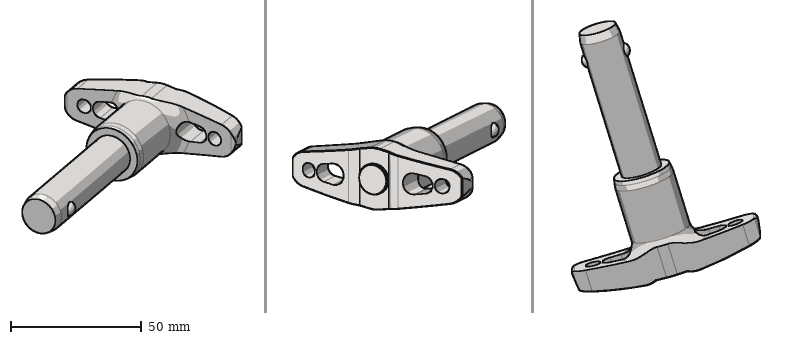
import cadquery as cq
import math

LENGTH = 101.2

PIN_RADIUS = 8.0
PIN_TIP_RADIUS = 7.3
PIN_TIP_TAPER = 3.4
PIN_LENGTH = 59.0

BALL_RADIUS = 3.0
BALL_REACH = 9.6
BALL_Y = 11.2

COLLAR_RADIUS = 11.7
COLLAR_RIM_RADIUS = 11.4
COLLAR_END_RADIUS = 11.1
COLLAR_RIM_LENGTH = 1.5
COLLAR_TAPER_LENGTH = 2.2

HUB_RADIUS = 12.3
HANDLE_WIDTH = 74.8
HANDLE_HALF_WIDTH = HANDLE_WIDTH / 2
END_RADIUS = 7.1

UNDERSIDE_CREST_Y = LENGTH - 11.1
UNDERSIDE_RADIUS = 546.5
FLARE_RADIUS = 5.5

DOME_RADIUS = 151.8
DOME_CREST_X = 10.6
DOME_CREST_Y = LENGTH - 0.35
SEAT_Y = LENGTH - 1.4
SEAT_ROUND = 9.5
TOP_CHAMFER = 0.3

FACET_TOP_X = 36.3
FACET_TOP_Y = LENGTH - 4.0
FACET_BOTTOM_Y = LENGTH - 10.7
FACET_FILLET = 1.4

SLOT_INNER_X = 16.9
SLOT_INNER_WIDTH = 8.4
SLOT_INNER_RADIUS = SLOT_INNER_WIDTH / 2
SLOT_OUTER_X = 21.3
SLOT_OUTER_RADIUS = 3.5
HOLE_X = 28.5
HOLE_DIAMETER = 5.8

BUTTON_TOP_RADIUS = 5.8
BUTTON_BASE_RADIUS = 6.1
BUTTON_LIP = 0.5

CLEARANCE = 1.5 * HANDLE_HALF_WIDTH


def round_ended_hull(x_a, radius_a, x_b, radius_b):
    """Prism along Y over two circles on the X axis joined by their outer tangent lines."""
    lean = (radius_a - radius_b) / (x_b - x_a)
    rise = math.sqrt(1 - lean**2)

    def tangent_point(x, radius, side):
        return (x + radius * lean, side * radius * rise)

    outline = (
        cq.Workplane("XZ")
        .moveTo(*tangent_point(x_a, radius_a, 1))
        .lineTo(*tangent_point(x_b, radius_b, 1))
        .threePointArc((x_b + radius_b, 0), tangent_point(x_b, radius_b, -1))
        .lineTo(*tangent_point(x_a, radius_a, -1))
        .threePointArc((x_a - radius_a, 0), tangent_point(x_a, radius_a, 1))
        .close()
    )
    return through_handle(outline)


def through_handle(outline):
    """Extrude an XZ outline along +Y past the top of the handle."""
    return outline.extrude(-(LENGTH + CLEARANCE))


def mirrored_pair(half):
    """The given shape together with its mirror image on the other side in X."""
    return half.union(half.mirror("YZ"))


def turned(profile):
    """Close an XY profile and revolve it about the Y axis."""
    return profile.close().revolve(360, (0, 0), (0, 1))


def make_handle_slab():
    """Domed top and end facets of the handle, as a slab wider in Z than the handle."""
    base_y = UNDERSIDE_CREST_Y - 2 * FLARE_RADIUS
    facet_slope = (HANDLE_HALF_WIDTH - FACET_TOP_X) / (FACET_TOP_Y - FACET_BOTTOM_Y)
    facet_base_x = FACET_TOP_X + facet_slope * (FACET_TOP_Y - base_y)

    roll_center_y = DOME_CREST_Y - SEAT_ROUND
    roll_angle = math.acos((SEAT_Y - roll_center_y) / SEAT_ROUND)

    def roll_point(angle):
        return (
            DOME_CREST_X - SEAT_ROUND * math.sin(angle),
            roll_center_y + SEAT_ROUND * math.cos(angle),
        )

    half = (
        cq.Workplane("XY")
        .moveTo(0, base_y)
        .lineTo(facet_base_x, base_y)
        .lineTo(FACET_TOP_X, FACET_TOP_Y)
        .radiusArc((DOME_CREST_X, DOME_CREST_Y), -DOME_RADIUS)
        .threePointArc(roll_point(roll_angle / 2), roll_point(roll_angle))
        .lineTo(0, SEAT_Y)
        .close()
        .extrude(2 * HUB_RADIUS, both=True)
    )
    return mirrored_pair(half)


def make_underside_blank():
    """Turned blank whose lower face is the flare running tangent into the spherical underside."""
    sphere_y = UNDERSIDE_CREST_Y - UNDERSIDE_RADIUS
    flare_x = COLLAR_RADIUS + FLARE_RADIUS
    flare_lean = math.asin(flare_x / (UNDERSIDE_RADIUS - FLARE_RADIUS))
    flare_y = sphere_y + (UNDERSIDE_RADIUS - FLARE_RADIUS) * math.cos(flare_lean)

    def flare_point(angle):
        return (flare_x + FLARE_RADIUS * math.sin(angle), flare_y + FLARE_RADIUS * math.cos(angle))

    rim_y = sphere_y + math.sqrt(UNDERSIDE_RADIUS**2 - CLEARANCE**2)
    return turned(
        cq.Workplane("XY")
        .moveTo(0, flare_y)
        .lineTo(COLLAR_RADIUS, flare_y)
        .threePointArc(flare_point(-math.pi / 4), flare_point(flare_lean))
        .radiusArc((CLEARANCE, rim_y), UNDERSIDE_RADIUS)
        .lineTo(CLEARANCE, LENGTH)
        .lineTo(0, LENGTH)
    )


def make_handle():
    """Domed bar with rounded ends, finger slots and lanyard holes."""
    blank = make_underside_blank().rotate((0, 0, 0), (0, 1, 0), 90)
    body = make_handle_slab().intersect(blank)
    for side in (-1, 1):
        end_corner = cq.selectors.BoxSelector(
            (side * FACET_TOP_X, UNDERSIDE_CREST_Y - FLARE_RADIUS, -CLEARANCE),
            (side * CLEARANCE, FACET_BOTTOM_Y, CLEARANCE),
        )
        body = body.edges(end_corner).fillet(FACET_FILLET)

    end_x = HANDLE_HALF_WIDTH - END_RADIUS
    outline = mirrored_pair(round_ended_hull(0, HUB_RADIUS, end_x, END_RADIUS))
    body = body.intersect(outline)

    top_edges = cq.selectors.BoxSelector(
        (-CLEARANCE, FACET_TOP_Y - TOP_CHAMFER, -CLEARANCE),
        (CLEARANCE, LENGTH, CLEARANCE),
    )
    body = body.edges(top_edges).edges("(not |Z) or <X or >X").chamfer(TOP_CHAMFER)

    slot = round_ended_hull(SLOT_INNER_X, SLOT_INNER_RADIUS, SLOT_OUTER_X, SLOT_OUTER_RADIUS)
    hole = through_handle(cq.Workplane("XZ").center(HOLE_X, 0).circle(HOLE_DIAMETER / 2))
    return body.cut(mirrored_pair(slot)).cut(mirrored_pair(hole))


def make_stem():
    """Pin and collar turned as one body, reaching up into the handle."""
    rim_y = PIN_LENGTH + COLLAR_RIM_LENGTH
    return turned(
        cq.Workplane("XY")
        .lineTo(PIN_TIP_RADIUS, 0)
        .lineTo(PIN_RADIUS, PIN_TIP_TAPER)
        .lineTo(PIN_RADIUS, PIN_LENGTH)
        .lineTo(COLLAR_END_RADIUS, PIN_LENGTH)
        .lineTo(COLLAR_RIM_RADIUS, rim_y)
        .lineTo(COLLAR_RADIUS, rim_y + COLLAR_TAPER_LENGTH)
        .lineTo(COLLAR_RADIUS, UNDERSIDE_CREST_Y)
        .lineTo(0, UNDERSIDE_CREST_Y)
    )


def make_button():
    """Low round button with a chamfered top edge."""
    return turned(
        cq.Workplane("XY")
        .moveTo(0, UNDERSIDE_CREST_Y)
        .lineTo(BUTTON_BASE_RADIUS, UNDERSIDE_CREST_Y)
        .lineTo(BUTTON_BASE_RADIUS, LENGTH - BUTTON_LIP)
        .lineTo(BUTTON_TOP_RADIUS, LENGTH)
        .lineTo(0, LENGTH)
    )


def make_balls():
    """The two locking balls, centred inside the pin."""
    ball = cq.Workplane("XY").sphere(BALL_RADIUS)
    return mirrored_pair(ball.translate((BALL_REACH - BALL_RADIUS, BALL_Y, 0)))


result = make_handle().union(make_stem()).union(make_button()).union(make_balls()).solids()